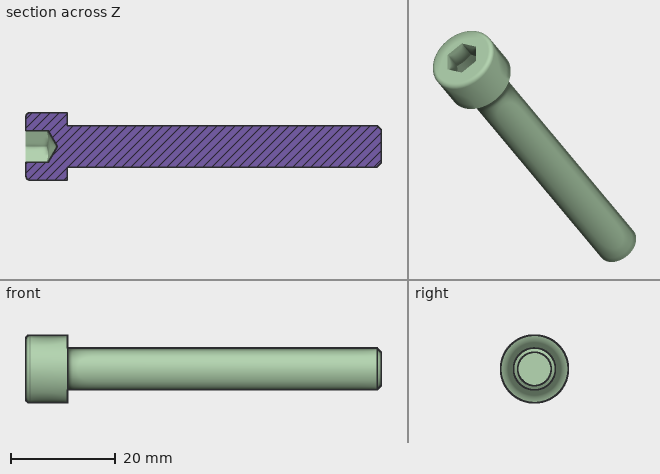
import cadquery as cq
import math

total_length = 68.0
head_diameter = 13.0
head_height = 8.0
shank_diameter = 8.0

head_fillet = 0.8
tip_chamfer = 0.8

socket_across_flats = 6.0
socket_depth = 4.0
socket_cone_angle = 120.0


def make_head():
    head = cq.Workplane("YZ").circle(head_diameter / 2).extrude(head_height)
    return head.faces("<X").edges().fillet(head_fillet)


def make_shank():
    shank_length = total_length - head_height
    shank = (
        cq.Workplane("YZ", origin=(head_height, 0, 0))
        .circle(shank_diameter / 2)
        .extrude(shank_length)
    )
    return shank.faces(">X").edges().chamfer(tip_chamfer)


def make_socket():
    """Hexagonal prism, two corners on the Z axis, ending in a drilled cone."""
    across_corners = socket_across_flats / math.cos(math.radians(30))
    cone_radius = across_corners / 2
    cone_depth = cone_radius / math.tan(math.radians(socket_cone_angle / 2))
    full_depth = socket_depth + cone_depth
    hexagon = (
        cq.Workplane("YZ")
        .transformed(rotate=(0, 0, 90))
        .polygon(6, across_corners)
        .extrude(full_depth)
    )
    drill = (
        cq.Workplane("XY")
        .polyline([(0, 0), (0, cone_radius), (socket_depth, cone_radius), (full_depth, 0)])
        .close()
        .revolve(360, (0, 0, 0), (1, 0, 0))
    )
    return hexagon.intersect(drill)


result = make_head().union(make_shank()).cut(make_socket())